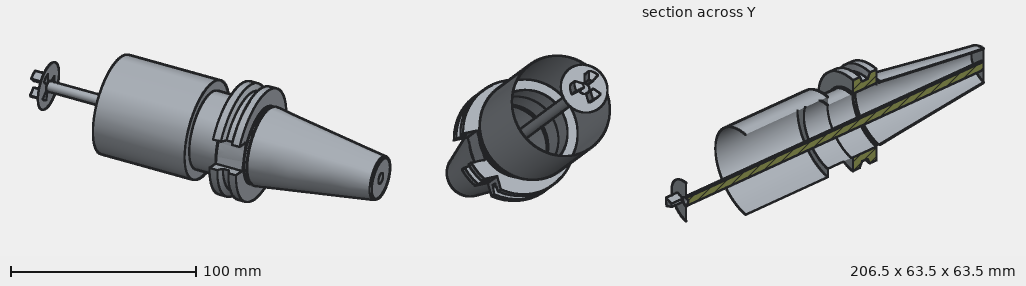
import cadquery as cq
import math

TOTAL_LENGTH = 206.5
WALL = 0.2

BLADE_LENGTH = 7.6
BLADE_OUTER_DIAMETER = 16.0
BLADE_COUNT = 3
BLADE_SPAN = 40.0
FIRST_BLADE_ANGLE = 112.0
DISC_DIAMETER = 26.6
ROD_DIAMETER = 6.0
DIMPLE_DEPTH = 1.7

SLEEVE_START = 47.5
SLEEVE_END = 102.4
SLEEVE_RADIUS = 56.0 / 2
NECK_RADIUS = 44.4 / 2
COLLAR_RADIUS = NECK_RADIUS + 0.6
COLLAR_LENGTH = 0.8
RELIEF_RADIUS = 21.5
RELIEF_END = 136.2
RELIEF_CHAMFER = 0.8
TAPER_START = 137.7
TAPER_SLOPE = 7 / 48
END_CHAMFER = 1.0
END_CHAMFER_DROP = 0.6

FLANGE_START = 118.9
FLANGE_END = 134.8
FLANGE_RADIUS = 63.5 / 2
GROOVE_RADIUS = SLEEVE_RADIUS
GROOVE_CENTER = 127.0
GROOVE_TOP_WIDTH = 6.6
GROOVE_BOTTOM_WIDTH = 3.5
CORE_START_RADIUS = 23.0
CORE_END_RADIUS = 22.7

KEYWAY_WIDTH = 16.5
KEYWAY_FLOOR = 22.5
KEYWAY_ANGLES = (-16.3, 163.7)
NOTCH_ROOT = 26.0
NOTCH_OPENING = 90.0
NOTCH_ANGLE = -61.5
CUT_CLEARANCE = 2.0


def revolve_profile(points):
    """Turn an (x, radius) outline about the X axis."""
    return cq.Workplane("XY").polyline(points).close().revolve(360, (0, 0, 0), (1, 0, 0))


def rod_section(start, end, diameter):
    """Solid cylinder along X."""
    return cq.Workplane("YZ", origin=(start, 0, 0)).circle(diameter / 2).extrude(end - start)


def make_blades():
    """Ring sectors standing on the front of the disc."""
    inner = ROD_DIAMETER / 2
    outer = BLADE_OUTER_DIAMETER / 2

    def polar(radius, angle):
        return radius * math.cos(math.radians(angle)), radius * math.sin(math.radians(angle))

    half = BLADE_SPAN / 2
    blade = (
        cq.Workplane("YZ")
        .moveTo(*polar(inner, -half))
        .lineTo(*polar(outer, -half))
        .threePointArc(polar(outer, 0), polar(outer, half))
        .lineTo(*polar(inner, half))
        .threePointArc(polar(inner, 0), polar(inner, -half))
        .close()
        .extrude(BLADE_LENGTH + WALL)
    )
    blades = cq.Workplane("YZ")
    for index in range(BLADE_COUNT):
        angle = FIRST_BLADE_ANGLE + index * 360 / BLADE_COUNT
        blades = blades.union(blade.rotate((0, 0, 0), (1, 0, 0), angle))
    return blades


def make_cutter():
    """Bladed disc on a rod that reaches the closed end of the taper."""
    disc = rod_section(BLADE_LENGTH, BLADE_LENGTH + WALL, DISC_DIAMETER)
    rod = rod_section(BLADE_LENGTH, TOTAL_LENGTH, ROD_DIAMETER)
    dimple = revolve_profile([
        (BLADE_LENGTH, 0),
        (BLADE_LENGTH, ROD_DIAMETER / 2),
        (BLADE_LENGTH + DIMPLE_DEPTH, 0),
    ])
    return disc.union(rod).cut(dimple).union(make_blades())


def make_body():
    """Sleeve, neck, relief and taper, without the bore."""
    chamfer_start = TOTAL_LENGTH - END_CHAMFER
    taper_end_radius = NECK_RADIUS - TAPER_SLOPE * (chamfer_start - TAPER_START)
    return revolve_profile([
        (SLEEVE_START, 0),
        (SLEEVE_START, SLEEVE_RADIUS),
        (SLEEVE_END, SLEEVE_RADIUS),
        (SLEEVE_END, NECK_RADIUS),
        (FLANGE_START - COLLAR_LENGTH, NECK_RADIUS),
        (FLANGE_START, COLLAR_RADIUS),
        (FLANGE_START, NECK_RADIUS),
        (FLANGE_END, NECK_RADIUS),
        (FLANGE_END, RELIEF_RADIUS),
        (RELIEF_END, RELIEF_RADIUS),
        (RELIEF_END + RELIEF_CHAMFER, NECK_RADIUS),
        (TAPER_START, NECK_RADIUS),
        (chamfer_start, taper_end_radius),
        (TOTAL_LENGTH, taper_end_radius - END_CHAMFER_DROP),
        (TOTAL_LENGTH, 0),
    ])


def make_bore():
    """Cavity that leaves a thin wall in the sleeve, neck, taper and closed end."""
    bore_end = TOTAL_LENGTH - WALL
    relief_bore = RELIEF_RADIUS - WALL
    bore_end_radius = NECK_RADIUS - TAPER_SLOPE * (TOTAL_LENGTH - TAPER_START) - END_CHAMFER_DROP - WALL
    return revolve_profile([
        (SLEEVE_START, 0),
        (SLEEVE_START, SLEEVE_RADIUS - WALL),
        (SLEEVE_END - WALL, SLEEVE_RADIUS - WALL),
        (SLEEVE_END - WALL, NECK_RADIUS - WALL),
        (FLANGE_END - WALL, NECK_RADIUS - WALL),
        (FLANGE_END - WALL, relief_bore),
        (TAPER_START, relief_bore),
        (bore_end, bore_end_radius),
        (bore_end, 0),
    ])


def keyway(angle):
    """Flat-floored slot running the full length of the flange."""
    length = FLANGE_END - FLANGE_START
    depth = FLANGE_RADIUS - KEYWAY_FLOOR + CUT_CLEARANCE
    slot = cq.Workplane("XY").box(length, depth, KEYWAY_WIDTH, centered=(False, False, True))
    return slot.translate((FLANGE_START, KEYWAY_FLOOR, 0)).rotate((0, 0, 0), (1, 0, 0), angle)


def orientation_notch():
    """V-shaped notch running the full length of the flange."""
    mouth = FLANGE_RADIUS + CUT_CLEARANCE
    half_mouth = (mouth - NOTCH_ROOT) * math.tan(math.radians(NOTCH_OPENING / 2))
    notch = (
        cq.Workplane("YZ", origin=(FLANGE_START, 0, 0))
        .polyline([(NOTCH_ROOT, 0), (mouth, -half_mouth), (mouth, half_mouth)])
        .close()
        .extrude(FLANGE_END - FLANGE_START)
    )
    return notch.rotate((0, 0, 0), (1, 0, 0), NOTCH_ANGLE)


def make_flange():
    """Grooved flange with two drive keyways and an orientation notch."""
    flange = revolve_profile([
        (FLANGE_START, 0),
        (FLANGE_START, FLANGE_RADIUS),
        (GROOVE_CENTER - GROOVE_TOP_WIDTH / 2, FLANGE_RADIUS),
        (GROOVE_CENTER - GROOVE_BOTTOM_WIDTH / 2, GROOVE_RADIUS),
        (GROOVE_CENTER + GROOVE_BOTTOM_WIDTH / 2, GROOVE_RADIUS),
        (GROOVE_CENTER + GROOVE_TOP_WIDTH / 2, FLANGE_RADIUS),
        (FLANGE_END, FLANGE_RADIUS),
        (FLANGE_END, 0),
    ])
    for angle in KEYWAY_ANGLES:
        flange = flange.cut(keyway(angle))
    flange = flange.cut(orientation_notch())

    core = revolve_profile([
        (FLANGE_START, 0),
        (FLANGE_START, CORE_START_RADIUS),
        (FLANGE_END, CORE_END_RADIUS),
        (FLANGE_END, 0),
    ])
    return flange.union(core)


holder = make_body().union(make_flange()).cut(make_bore())
result = holder.union(make_cutter())